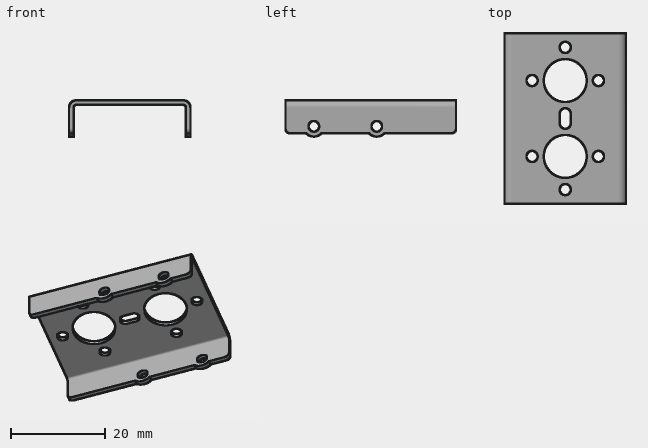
import cadquery as cq

length = 36.0
width = 25.6
thickness = 1.0
inner_bend_radius = 0.5
outer_bend_radius = inner_bend_radius + thickness
flange_depth = 7.0
flange_corner_radius = 1.0

overall_height = 7.7
side_hole_depth = 5.5
side_hole_diameter = 2.2
lug_radius = overall_height - side_hole_depth
side_hole_y_positions = (12.0, -1.25)

large_hole_diameter = 9.0
large_hole_offset = 8.0
screw_hole_diameter = 2.3
screw_circle_radius = 7.0
slot_length = 4.3
slot_width = screw_hole_diameter


def make_channel():
    outer = (
        cq.Workplane("XY")
        .box(width, length, flange_depth, centered=(True, True, False))
        .translate((0, 0, -flange_depth))
        .edges("|Y and >Z")
        .fillet(outer_bend_radius)
    )
    inner = (
        cq.Workplane("XY")
        .box(width - 2 * thickness, length, flange_depth, centered=(True, True, False))
        .translate((0, 0, -flange_depth - thickness))
        .edges("|Y and >Z")
        .fillet(inner_bend_radius)
    )
    return outer.cut(inner).edges("|X and <Z").fillet(flange_corner_radius)


def side_cylinders(radius):
    """Cylinders along X through the full width, at every side hole."""
    centers = [(y, -side_hole_depth) for y in side_hole_y_positions]
    return (
        cq.Workplane("YZ")
        .pushPoints(centers)
        .circle(radius)
        .extrude(width / 2, both=True)
    )


def make_lugs():
    flange_gap = cq.Workplane("XY").box(width - 2 * thickness, length, 2 * overall_height)
    return side_cylinders(lug_radius).cut(flange_gap)


def web_cutters():
    def through_holes(centers, diameter):
        return (
            cq.Workplane("XY")
            .pushPoints(centers)
            .circle(diameter / 2)
            .extrude(-thickness)
        )

    large_centers = []
    screw_centers = []
    for end in (1, -1):
        y = end * large_hole_offset
        large_centers.append((0, y))
        screw_centers.append((-screw_circle_radius, y))
        screw_centers.append((screw_circle_radius, y))
        screw_centers.append((0, y + end * screw_circle_radius))

    slot = cq.Workplane("XY").slot2D(slot_length, slot_width, 90).extrude(-thickness)
    large_holes = through_holes(large_centers, large_hole_diameter)
    screw_holes = through_holes(screw_centers, screw_hole_diameter)
    return large_holes, screw_holes, slot


result = make_channel().union(make_lugs())
result = result.cut(side_cylinders(side_hole_diameter / 2))
for cutter in web_cutters():
    result = result.cut(cutter)